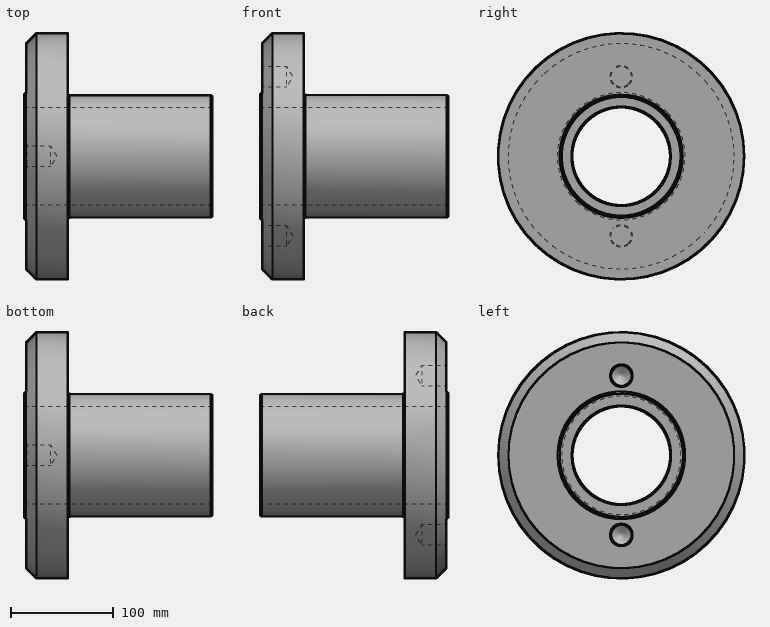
import cadquery as cq
import math

total_length = 183.8

flange_diameter = 240.0
flange_thickness = 40.8
flange_chamfer = 10.0
flange_back_chamfer = 0.5

ring_front_diameter = 120.0
ring_height = 2.2

sleeve_diameter = 119.5
sleeve_chamfer = 2.0
collar_width = 1.5
collar_diameter = 120.0

bore_diameter = 95.0
bore_chamfer = 1.0

hole_diameter = 20.0
hole_depth = 24.0
hole_spacing = 155.0
hole_chamfer = 1.0
drill_point_angle = 118.0

flange_back = ring_height + flange_thickness
flange_radius = flange_diameter / 2
ring_front_radius = ring_front_diameter / 2
ring_base_radius = ring_front_radius + ring_height
sleeve_radius = sleeve_diameter / 2
collar_radius = collar_diameter / 2
collar_end = flange_back + collar_width
bore_radius = bore_diameter / 2
bore_mouth_radius = bore_radius + bore_chamfer


def revolve_about_x(profile):
    """Turn a closed profile of (x, radius) points about the X axis."""
    return cq.Workplane("XY").polyline(profile).close().revolve(360, (0, 0, 0), (1, 0, 0))


def make_body():
    """Flange, ring, sleeve and bore as one turned profile."""
    return revolve_about_x([
        (0, bore_mouth_radius),
        (0, ring_front_radius),
        (ring_height, ring_base_radius),
        (ring_height, flange_radius - flange_chamfer),
        (ring_height + flange_chamfer, flange_radius),
        (flange_back - flange_back_chamfer, flange_radius),
        (flange_back, flange_radius - flange_back_chamfer),
        (flange_back, collar_radius),
        (collar_end, collar_radius),
        (collar_end, sleeve_radius),
        (total_length - sleeve_chamfer, sleeve_radius),
        (total_length, sleeve_radius - sleeve_chamfer),
        (total_length, bore_mouth_radius),
        (total_length - bore_chamfer, bore_radius),
        (bore_chamfer, bore_radius),
    ])


def make_hole_cutter(height):
    """Drilled hole with a chamfered mouth and a conical bottom, at the given Z."""
    radius = hole_diameter / 2
    point_length = radius / math.tan(math.radians(drill_point_angle / 2))
    bottom = ring_height + hole_depth
    cutter = revolve_about_x([
        (ring_height, 0),
        (ring_height, radius + hole_chamfer),
        (ring_height + hole_chamfer, radius),
        (bottom, radius),
        (bottom + point_length, 0),
    ])
    return cutter.translate((0, 0, height))


result = make_body()
for side in (-1, 1):
    result = result.cut(make_hole_cutter(side * hole_spacing / 2))